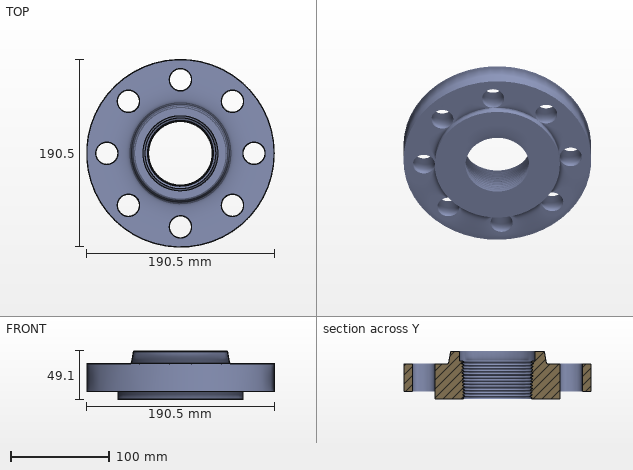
import cadquery as cq
import math

flange_diameter = 190.5
flange_thickness = 28.45
raised_face_diameter = 127.0
raised_face_height = 7.94

hub_base_diameter = 100.0
hub_height = 12.7
hub_taper_angle = 10.0
hub_round_radius = 1.5

bolt_count = 8
bolt_circle_diameter = 149.35
bolt_hole_diameter = 22.3

counterbore_diameter = 76.2
thread_pitch = 25.4 / 8
thread_pitch_count = 12
thread_taper = 1 / 32
thread_half_angle = 30.0
bottom_crest_radius = 32.3
entry_height = 1.4

flange_top = raised_face_height + flange_thickness
total_height = flange_top + hub_height
counterbore_radius = counterbore_diameter / 2
flank_slope = math.tan(math.radians(thread_half_angle))
thread_depth = thread_pitch / 2 / flank_slope
thread_top = thread_pitch * thread_pitch_count
counterbore_floor = thread_top + entry_height


def crest_radius(height):
    return bottom_crest_radius + height * thread_taper


def make_plate():
    raised_face = cq.Workplane("XY").circle(raised_face_diameter / 2).extrude(raised_face_height)
    plate = (
        cq.Workplane("XY")
        .workplane(offset=raised_face_height)
        .circle(flange_diameter / 2)
        .extrude(flange_thickness)
    )
    return raised_face.union(plate)


def make_hub():
    hub = (
        cq.Workplane("XY")
        .workplane(offset=flange_top)
        .circle(hub_base_diameter / 2)
        .extrude(hub_height, taper=hub_taper_angle)
    )
    return hub.faces(">Z").edges().fillet(hub_round_radius)


def blend_hub_base(body):
    """Fillet the circle where the hub meets the plate."""
    margin = 1.0
    reach = hub_base_diameter / 2 + margin
    base_circle = cq.selectors.BoxSelector(
        (-reach, -reach, flange_top - margin),
        (reach, reach, flange_top + margin),
        boundingbox=True,
    )
    return body.edges(base_circle).fillet(hub_round_radius)


def make_bore():
    """Revolved void: ring-shaped V grooves on a taper, opening into the counterbore."""
    profile = cq.Workplane("XZ").lineTo(bottom_crest_radius, 0)
    for groove in range(thread_pitch_count):
        root_height = (groove + 0.5) * thread_pitch
        crest_height = (groove + 1) * thread_pitch
        profile = profile.lineTo(crest_radius(root_height) + thread_depth, root_height)
        profile = profile.lineTo(crest_radius(crest_height), crest_height)
    entry_radius = crest_radius(thread_top) + entry_height / flank_slope
    profile = (
        profile.lineTo(entry_radius, counterbore_floor)
        .lineTo(counterbore_radius, counterbore_floor)
        .lineTo(counterbore_radius, total_height)
        .lineTo(0, total_height)
        .close()
    )
    return profile.revolve(360, (0, 0, 0), (0, 1, 0))


def make_bolt_holes():
    return (
        cq.Workplane("XY")
        .polarArray(bolt_circle_diameter / 2, 0, 360, bolt_count)
        .circle(bolt_hole_diameter / 2)
        .extrude(total_height)
    )


flange = blend_hub_base(make_plate().union(make_hub()))
result = flange.cut(make_bore()).cut(make_bolt_holes())